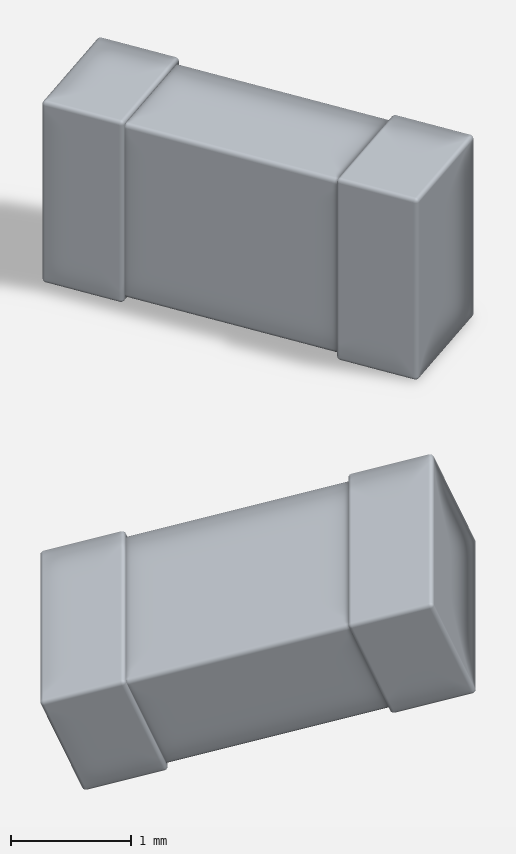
import cadquery as cq

length = 3.45
width = 1.1
height = 1.8

cap_length = 0.75
cap_step = 0.038
cap_edge_radius = 0.035

body_length = length - 2 * cap_length
body_width = width - 2 * cap_step
body_height = height - 2 * cap_step
body_edge_radius = 0.038


def make_body():
    """Block between the caps, rounded along its four long edges."""
    block = cq.Workplane("XY").box(body_length, body_width, body_height)
    return block.edges("|X").fillet(body_edge_radius)


def make_end_cap(side):
    """Block with every edge rounded; side is -1 for the -X end, +1 for the +X end."""
    centre_x = side * (length - cap_length) / 2
    block = cq.Workplane("XY").box(cap_length, width, height)
    return block.edges().fillet(cap_edge_radius).translate((centre_x, 0, 0))


body = make_body()
end_caps = [make_end_cap(side) for side in (-1, 1)]

result = cq.Compound.makeCompound([body.val(), *[cap.val() for cap in end_caps]])